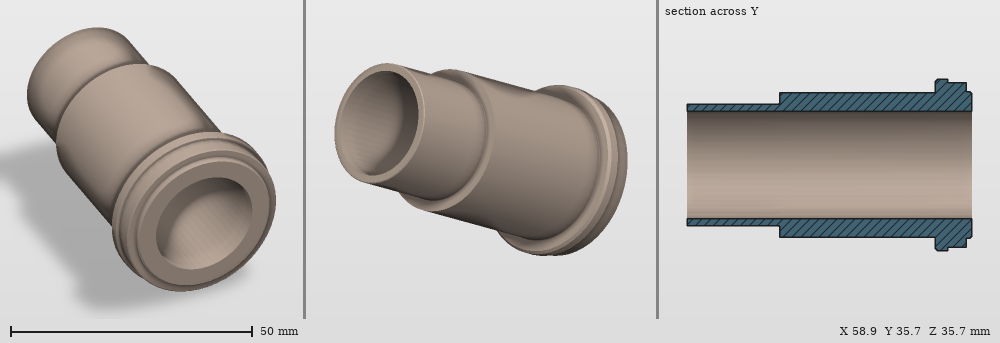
import cadquery as cq

length = 58.9
bore_diameter = 22.1
tube_diameter = 25.4
body_diameter = 30.0
flange_diameter = 35.7
ring_diameter = 34.2
lip_diameter = 30.4

body_start = 19.1
flange_start = 51.3
flange_end = 53.95
ring_end = 57.85

tube_tip_chamfer = 0.2
root_fillet = 0.2
flange_front_chamfer = 0.55
flange_back_chamfer = 0.2
ring_chamfer = 0.25
lip_chamfer = 0.35


def section(diameter, start, end):
    """Solid cylinder along X between two axial positions."""
    return cq.Workplane("YZ", origin=(start, 0, 0)).circle(diameter / 2).extrude(end - start)


def root_edge(diameter, position):
    """Selector for the circular edge where a cylinder meets a shoulder."""
    radius = diameter / 2
    margin = 0.03
    lower = (position - margin, -radius - margin, -radius - margin)
    upper = (position + margin, radius + margin, radius + margin)
    return cq.selectors.BoxSelector(lower, upper, boundingbox=True)


tube = section(tube_diameter, 0, body_start).faces("<X").edges().chamfer(tube_tip_chamfer)
body = section(body_diameter, body_start, flange_start)
flange = (
    section(flange_diameter, flange_start, flange_end)
    .faces("<X").edges().chamfer(flange_front_chamfer)
    .faces(">X").edges().chamfer(flange_back_chamfer)
)
ring = section(ring_diameter, flange_end, ring_end).faces(">X").edges().chamfer(ring_chamfer)
lip = section(lip_diameter, ring_end, length).faces(">X").edges().chamfer(lip_chamfer)

sleeve = tube.union(body).union(flange).union(ring).union(lip)

roots = (
    (tube_diameter, body_start),
    (body_diameter, flange_start),
    (lip_diameter, ring_end),
)
for diameter, position in roots:
    sleeve = sleeve.edges(root_edge(diameter, position)).fillet(root_fillet)

result = sleeve.cut(section(bore_diameter, 0, length))